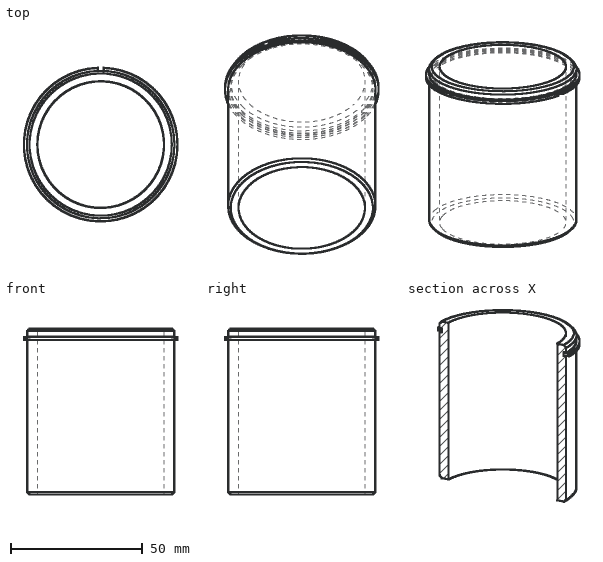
import cadquery as cq

sleeve_length = 63.0
sleeve_diameter = 56.0
bore_diameter = 48.0
end_chamfer = 1.0

groove_top_offset = 3.0
groove_width = 1.3
groove_depth = 1.0
groove_diameter = sleeve_diameter - 2 * groove_depth
groove_bottom = sleeve_length - groove_top_offset - groove_width

ring_diameter = 58.4
ring_thickness = 1.1
ring_gap = 2.2


def make_tube(outer_diameter, inner_diameter, height, bottom=0.0):
    return (
        cq.Workplane("XY", origin=(0, 0, bottom))
        .circle(outer_diameter / 2)
        .circle(inner_diameter / 2)
        .extrude(height)
    )


def make_sleeve():
    outside = (
        cq.Workplane("XY")
        .circle(sleeve_diameter / 2)
        .extrude(sleeve_length)
        .faces("<Z or >Z")
        .chamfer(end_chamfer)
    )
    tube = outside.faces(">Z").workplane().hole(bore_diameter)
    groove = make_tube(ring_diameter, groove_diameter, groove_width, groove_bottom)
    return tube.cut(groove)


def make_snap_ring():
    full_ring = make_tube(ring_diameter, groove_diameter, ring_thickness, groove_bottom)
    gap_cutter = (
        cq.Workplane("XY", origin=(0, 0, groove_bottom))
        .rect(ring_gap, ring_diameter)
        .extrude(ring_thickness)
        .translate((0, ring_diameter / 2, 0))
    )
    return full_ring.cut(gap_cutter)


sleeve = make_sleeve()
snap_ring = make_snap_ring()

result = cq.Compound.makeCompound([sleeve.val(), snap_ring.val()])